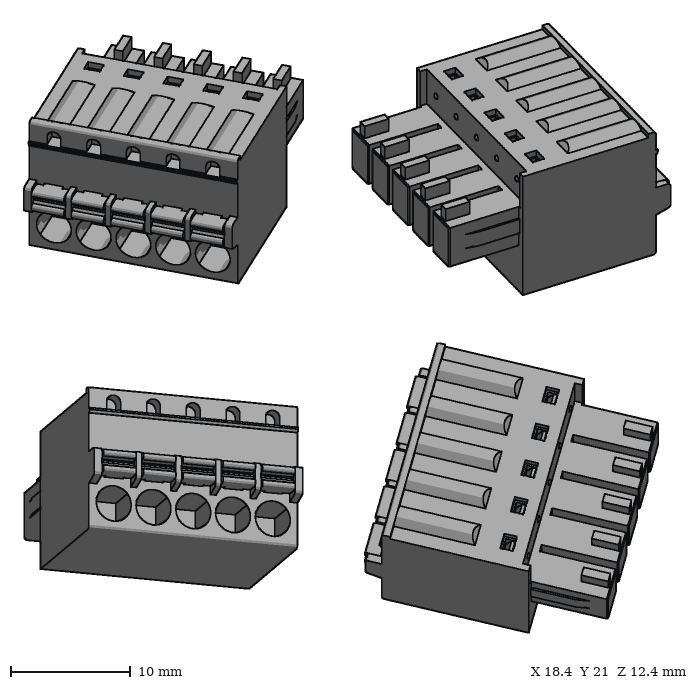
import cadquery as cq
import math

total_length = 21.0
total_height = 12.4
body_width = 18.4
pole_count = 5
pole_pitch = 3.5
pole_xs = [(i - (pole_count - 1) / 2) * pole_pitch for i in range(pole_count)]
overlap = 0.1

rear_y = total_length / 2
button_front_y = -total_length / 2

prong_length = 6.64
body_rear_y = rear_y - prong_length
wire_face_y = button_front_y + 1.65
body_top = 12.0
lip_depth = 0.74
lip_rounding = 0.32
bottom_rounding = 0.32

ridge_width = 1.95
ridge_rear_y = -1.1
ridge_height = total_height - body_top
ridge_end_run = 0.42

window_width = 1.39
window_rear_y = 2.1
window_front_y = 1.0
window_ledge_depth = 0.57
contact_width = 1.03
contact_rear_y = 2.0
contact_step_y = 1.68
contact_front_y = 1.18
contact_shelf_depth = 0.75
contact_drop_depth = 1.68

prong_width = 2.88
prong_bottom = 4.43
prong_top = 8.5
prong_bottom_rounding = 0.32
prong_tip_chamfer = 0.1
key_width = 0.75
key_rear_y = 10.25
key_length = 2.3
key_top = 9.72

rail_height = 0.17
rail_bottom = 5.95
rail_top = 7.35
rail_rear_y = 8.88
rail_ramp_length = 1.1

notch_depth = 0.65
notch_width = (pole_count - 1) * pole_pitch + prong_width + 2 * rail_height
stud_radius = 0.3
stud_inset = 0.13

strip_top = 10.48
strip_front_bottom = 10.31
strip_bottom = 10.05
strip_height_out = 0.19
strip_bevel = 0.13

arch_width = 1.22
arch_top = 11.8
arch_depth = 1.25

entry_centre_z = 2.37
entry_radius = 1.53
entry_socket_width = 2.35
entry_socket_height = 1.87
entry_funnel_depth = 2.95

rib_top = 6.72
rib_projection = 1.4
rib_front_bottom = 4.35
rib_root_bottom = 3.95
rib_rounding = 0.34
rib_width = 0.5
button_gap = 0.074
button_width = pole_pitch - rib_width - 2 * button_gap
button_top = 6.57
upper_bead_bottom = 5.98
recess_top = 5.84
recess_step_z = 5.7
recess_bottom = 5.5
lower_bead_top = 5.23
button_bottom = 4.6
bead_radius = 0.27
recess_depth = 0.63
recess_step_depth = 0.1
lower_bead_land = 0.1
button_neck_width = 1.64
button_neck_length = 0.3


def box(x_centre, width, y_min, y_max, z_min, z_max):
    """Box centred on x_centre, between the given Y and Z limits."""
    return (
        cq.Workplane("XY")
        .box(width, y_max - y_min, z_max - z_min, centered=(True, False, False))
        .translate((x_centre, y_min, z_min))
    )


def extrude_along_x(outline, x_centre, width):
    """Extrude a closed outline in the YZ plane, centred on x_centre."""
    return outline.extrude(width / 2, both=True).translate((x_centre, 0, 0))


def yz_polygon(points):
    return cq.Workplane("YZ").polyline(points).close()


def make_housing():
    outline = yz_polygon([
        (body_rear_y, 0),
        (body_rear_y, body_top),
        (wire_face_y + lip_depth, body_top),
        (wire_face_y + lip_depth, total_height),
        (wire_face_y, total_height),
        (wire_face_y, 0),
    ])
    housing = extrude_along_x(outline, 0, body_width)
    housing = housing.edges("|X and >Z and <Y").fillet(lip_rounding)
    housing = housing.edges("|X and <Z and <Y").fillet(bottom_rounding)
    notch = box(0, notch_width, body_rear_y - notch_depth, body_rear_y, prong_top, total_height)
    return housing.cut(notch)


def make_ridge(x):
    """Low round-topped ridge behind the lip, with a sloped rear end."""
    front_y = wire_face_y + lip_depth - overlap
    ridge = (
        cq.Workplane("XZ", origin=(x, ridge_rear_y, 0))
        .moveTo(-ridge_width / 2, body_top - overlap)
        .lineTo(-ridge_width / 2, body_top)
        .threePointArc((0, total_height), (ridge_width / 2, body_top))
        .lineTo(ridge_width / 2, body_top - overlap)
        .close()
        .extrude(ridge_rear_y - front_y)
    )
    slope = yz_polygon([
        (ridge_rear_y, body_top),
        (ridge_rear_y, body_top + ridge_height),
        (ridge_rear_y - ridge_end_run, body_top + ridge_height),
    ])
    return ridge.cut(extrude_along_x(slope, x, ridge_width))


def make_window(x):
    """Stepped test window with a shelf and a steep drop towards the wire side."""
    opening = box(
        x, window_width, window_front_y, window_rear_y, body_top - window_ledge_depth, total_height
    )
    shaft = yz_polygon([
        (contact_rear_y, body_top),
        (contact_rear_y, body_top - contact_shelf_depth),
        (contact_step_y, body_top - contact_shelf_depth),
        (contact_front_y, body_top - contact_drop_depth),
        (contact_front_y, body_top),
    ])
    return opening.union(extrude_along_x(shaft, x, contact_width))


def make_prong(x):
    """Mating prong with a rounded underside, chamfered tip and polarising key."""
    prong = box(x, prong_width, body_rear_y - overlap, rear_y, prong_bottom, prong_top)
    prong = prong.edges("|Y and <Z").fillet(prong_bottom_rounding)
    prong = prong.faces(">Y").chamfer(prong_tip_chamfer)
    key = box(x, key_width, key_rear_y - key_length, key_rear_y, prong_top - overlap, key_top)
    return prong.union(key)


def make_rail(side):
    """Guide rail with a ramped end on an outer prong flank (side is -1 or 1)."""
    flank_x = side * (pole_xs[-1] + prong_width / 2)
    crest_x = flank_x + side * rail_height
    root_x = flank_x - side * overlap
    return (
        cq.Workplane("XY", origin=(0, 0, rail_bottom))
        .polyline([
            (root_x, rail_rear_y),
            (flank_x, rail_rear_y),
            (crest_x, rail_rear_y - rail_ramp_length),
            (crest_x, body_rear_y - overlap),
            (root_x, body_rear_y - overlap),
        ])
        .close()
        .extrude(rail_top - rail_bottom)
    )


def make_stud(x):
    """Small domed stud on the rear wall of the notch."""
    centre_y = body_rear_y - notch_depth - stud_inset
    centre_z = (prong_top + body_top) / 2
    return cq.Workplane("XY").sphere(stud_radius).translate((x, centre_y, centre_z))


def make_strip():
    """Full-width strip under the arched windows, bevelled along its lower edge."""
    front_y = wire_face_y - strip_height_out
    outline = yz_polygon([
        (wire_face_y + overlap, strip_top),
        (front_y, strip_top),
        (front_y, strip_front_bottom),
        (front_y + strip_bevel, strip_bottom),
        (wire_face_y + overlap, strip_bottom),
    ])
    return extrude_along_x(outline, 0, body_width)


def make_arch(x):
    """Blind round-topped window standing on the strip."""
    radius = arch_width / 2
    return (
        cq.Workplane("XZ", origin=(x, wire_face_y + arch_depth, 0))
        .moveTo(-radius, strip_top)
        .lineTo(-radius, arch_top - radius)
        .threePointArc((0, arch_top), (radius, arch_top - radius))
        .lineTo(radius, strip_top)
        .close()
        .extrude(arch_depth)
    )


def make_wire_entry(x):
    """Funnel whose round mouth narrows to a rectangle with its corners near the rim."""
    corner_angle = math.atan2(entry_socket_height, entry_socket_width)
    corner_x = entry_radius * math.cos(corner_angle)
    corner_z = entry_radius * math.sin(corner_angle)
    return (
        cq.Workplane("XZ", origin=(x, wire_face_y, entry_centre_z))
        .moveTo(-corner_x, -corner_z)
        .threePointArc((0, -entry_radius), (corner_x, -corner_z))
        .threePointArc((entry_radius, 0), (corner_x, corner_z))
        .threePointArc((0, entry_radius), (-corner_x, corner_z))
        .threePointArc((-entry_radius, 0), (-corner_x, -corner_z))
        .close()
        .workplane(offset=-entry_funnel_depth)
        .rect(entry_socket_width, entry_socket_height)
        .loft(ruled=True)
    )


def make_rib(x, width):
    """Guard rib beside a button, with a sloped underside."""
    front_y = wire_face_y - rib_projection
    outline = yz_polygon([
        (wire_face_y + overlap, rib_top),
        (front_y, rib_top),
        (front_y, rib_front_bottom),
        (wire_face_y, rib_root_bottom),
        (wire_face_y + overlap, rib_root_bottom),
    ])
    return extrude_along_x(outline, x, width).edges("|X and <Y").fillet(rib_rounding)


def make_button(x):
    """Release button: two rounded finger beads with a recess between, on a narrow neck."""
    front_y = button_front_y
    recess_y = front_y + recess_depth
    root_y = wire_face_y + overlap
    corner = bead_radius * (1 - math.sqrt(0.5))
    outline = (
        cq.Workplane("YZ")
        .moveTo(root_y, button_top)
        .lineTo(front_y + bead_radius, button_top)
        .threePointArc((front_y + corner, button_top - corner), (front_y, button_top - bead_radius))
        .lineTo(front_y, upper_bead_bottom + bead_radius)
        .threePointArc(
            (front_y + corner, upper_bead_bottom + corner),
            (front_y + bead_radius, upper_bead_bottom),
        )
        .lineTo(recess_y, recess_top)
        .lineTo(recess_y, recess_step_z)
        .lineTo(recess_y - recess_step_depth, recess_step_z)
        .lineTo(recess_y - recess_step_depth, recess_bottom)
        .lineTo(front_y + bead_radius + lower_bead_land, lower_bead_top)
        .lineTo(front_y + bead_radius, lower_bead_top)
        .threePointArc(
            (front_y + corner, lower_bead_top - corner),
            (front_y, lower_bead_top - bead_radius),
        )
        .lineTo(front_y, button_bottom + bead_radius)
        .threePointArc(
            (front_y + corner, button_bottom + corner),
            (front_y + bead_radius, button_bottom),
        )
        .lineTo(root_y, button_bottom)
        .close()
    )
    button = extrude_along_x(outline, x, button_width)
    relief_width = (button_width - button_neck_width) / 2
    for side in (-1, 1):
        relief_x = x + side * (button_neck_width + relief_width) / 2
        relief = box(
            relief_x, relief_width, wire_face_y - button_neck_length, root_y, button_bottom, button_top
        )
        button = button.cut(relief)
    return button


result = make_housing().union(make_strip())

for x in pole_xs:
    result = result.union(make_ridge(x)).union(make_prong(x)).union(make_stud(x))
    result = result.cut(make_window(x)).cut(make_arch(x)).cut(make_wire_entry(x))

for side in (-1, 1):
    result = result.union(make_rail(side))

for x in pole_xs[:-1]:
    result = result.union(make_rib(x + pole_pitch / 2, rib_width))

end_rib_inner_x = pole_xs[-1] + (pole_pitch - rib_width) / 2
end_rib_width = body_width / 2 - end_rib_inner_x
for side in (-1, 1):
    result = result.union(make_rib(side * (end_rib_inner_x + end_rib_width / 2), end_rib_width))

for x in pole_xs:
    result = result.union(make_button(x))